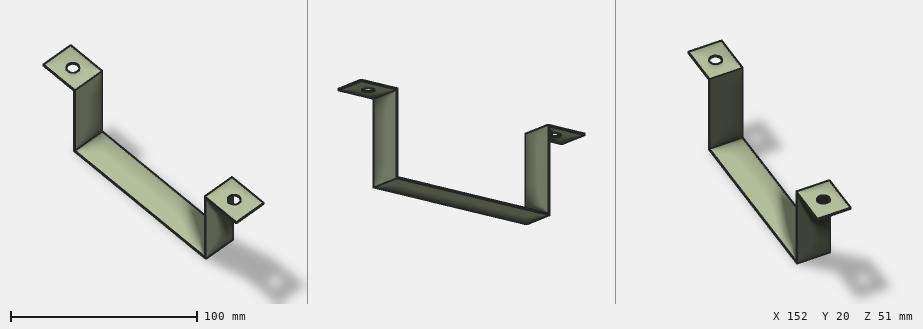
import cadquery as cq

length = 152.0
width = 20.0
height = 51.0
thickness = 1.0

flange_length = 25.0
hole_diameter = 7.0

wall_inner_x = length / 2 - flange_length
wall_outer_x = wall_inner_x + thickness
hole_x = length / 2 - flange_length / 2


def strap_body():
    """Hat-shaped strip: base, two upright walls and two outward flanges."""
    right_half = [
        (wall_outer_x, 0),
        (wall_outer_x, height - thickness),
        (length / 2, height - thickness),
        (length / 2, height),
        (wall_inner_x, height),
        (wall_inner_x, thickness),
    ]
    left_half = [(-x, z) for x, z in reversed(right_half)]
    return (
        cq.Workplane("XZ")
        .polyline(right_half + left_half)
        .close()
        .extrude(width / 2, both=True)
    )


def flange_holes():
    """One cutter through the middle of each flange."""
    return (
        cq.Workplane("XY")
        .workplane(offset=height - thickness)
        .pushPoints([(-hole_x, 0), (hole_x, 0)])
        .circle(hole_diameter / 2)
        .extrude(thickness)
    )


result = strap_body().cut(flange_holes())